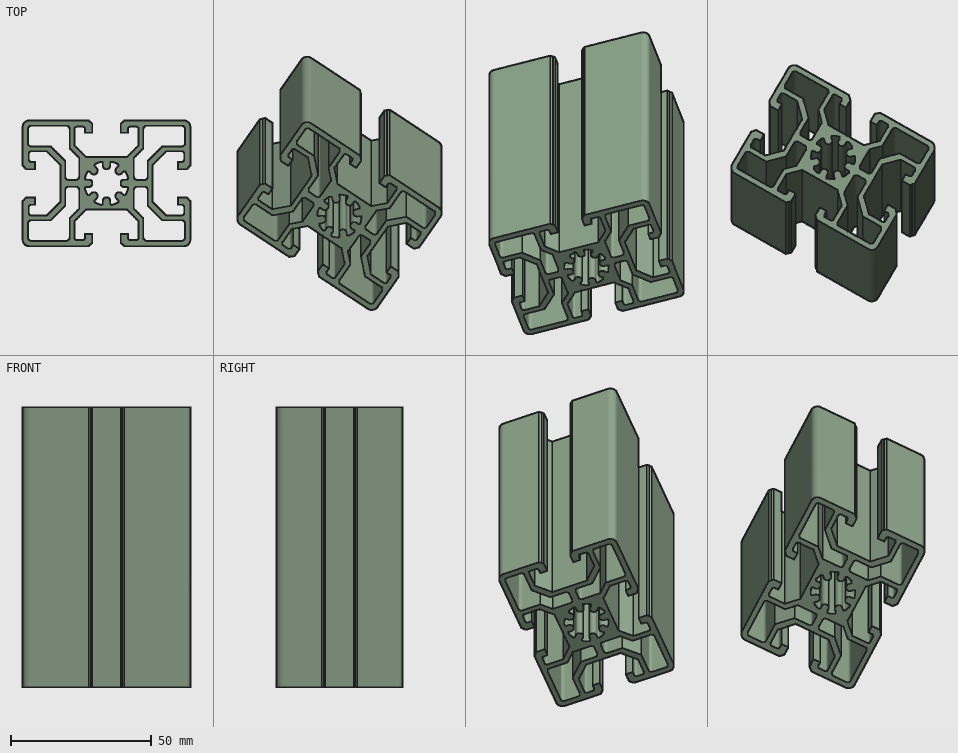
import cadquery as cq
import math

half_width = 30.0
half_depth = 22.5
length = 100.0
corner_radius = 2.5

mouth_half = 5.0
slot_half = 11.4
lip_thickness = 2.3
hook_depth = 4.5
hook_thickness = 2.7
lip_radius = 0.8
mouth_chamfer = 0.6
step_half = 6.4
step_depth = 0.7
wide_slot_floor = 9.4
wide_floor_half = 7.3
narrow_slot_floor = 16.5
narrow_floor_half = 6.6

wall = 2.0
web = 1.8
rib_thickness = 2.5
inner_chamber_x = 9.8
outer_chamber_x = 14.7
inner_bend_y = 9.1
outer_bend_y = 8.0
chamber_radius = 1.1

teeth = 8
root_radius = 7.9
tip_radius = 5.0
tooth_width = 2.7
tooth_tip_fillet = 1.3
tooth_root_fillet = 0.5


def t_slot(face, floor, floor_half):
    """Slot profile cutter opening towards +Y, with its mouth at Y = face."""
    lip = face - lip_thickness
    hook_x = mouth_half + hook_thickness
    hook_y = face - hook_depth
    chamfer_y = floor + slot_half - floor_half
    step_y = face - step_depth
    right_side = [
        (floor_half, floor),
        (slot_half, chamfer_y),
        (slot_half, lip),
        (hook_x, lip),
        (hook_x, hook_y),
        (mouth_half, hook_y),
        (mouth_half, step_y - mouth_chamfer),
        (mouth_half + mouth_chamfer, step_y),
        (step_half - step_depth, step_y),
        (step_half, face),
    ]
    left_side = [(-x, y) for x, y in reversed(right_side)]
    cutter = cq.Workplane("XY").polyline(right_side + left_side).close().extrude(length)
    for x in (-slot_half, -hook_x, hook_x, slot_half):
        cutter = cutter.edges(edge_at(x, lip)).fillet(lip_radius)
    return cutter


def edge_at(x, y):
    """Selector for the upright edge through (x, y)."""
    gap = 0.01
    return cq.selectors.BoxSelector((x - gap, y - gap, 0), (x + gap, y + gap, length))


def corner_chamber():
    """Bent hollow in the +X +Y corner."""
    outer_x = half_width - wall
    outer_y = half_depth - wall
    side = slot_half + web
    rib_half = rib_thickness / 2
    rounded = [
        (inner_chamber_x, rib_half),
        (outer_chamber_x, rib_half),
        (outer_x, side),
        (outer_x, outer_y),
        (side, outer_y),
    ]
    outline = [
        (inner_chamber_x, rib_half),
        (outer_chamber_x, rib_half),
        (outer_chamber_x, outer_bend_y),
        (outer_chamber_x + side - outer_bend_y, side),
        (outer_x, side),
        (outer_x, outer_y),
        (side, outer_y),
        (side, inner_bend_y + side - inner_chamber_x),
        (inner_chamber_x, inner_bend_y),
    ]
    chamber = cq.Workplane("XY").polyline(outline).close().extrude(length)
    for x, y in rounded:
        chamber = chamber.edges(edge_at(x, y)).fillet(chamber_radius)
    return chamber


def tooth():
    """Straight tooth along +X, running past the root circle and rounded at its tip."""
    overlap = 0.5
    reach = root_radius + overlap - tip_radius
    body = (
        cq.Workplane("XY")
        .center(tip_radius + reach / 2, 0)
        .rect(reach, tooth_width)
        .extrude(length)
    )
    return body.edges("|Z and <X").fillet(tooth_tip_fillet)


def core_hole():
    """Round hole with equally spaced teeth pointing to its centre."""
    hole = cq.Workplane("XY").circle(root_radius).extrude(length)
    pitch = 2 * math.pi / teeth
    for index in range(teeth):
        hole = hole.cut(tooth().rotate((0, 0, 0), (0, 0, 1), math.degrees(index * pitch)))

    half_angle = math.asin(tooth_width / 2 / root_radius)
    for index in range(teeth):
        for side in (-1, 1):
            angle = index * pitch + side * half_angle
            corner = edge_at(root_radius * math.cos(angle), root_radius * math.sin(angle))
            hole = hole.edges(corner).fillet(tooth_root_fillet)
    return hole


body = cq.Workplane("XY").rect(2 * half_width, 2 * half_depth).extrude(length)
body = body.edges("|Z").fillet(corner_radius)

wide_slot = t_slot(half_depth, wide_slot_floor, wide_floor_half)
narrow_slot = t_slot(half_width, narrow_slot_floor, narrow_floor_half)
for slot, angles in ((wide_slot, (0, 180)), (narrow_slot, (90, 270))):
    for angle in angles:
        body = body.cut(slot.rotate((0, 0, 0), (0, 0, 1), angle))

chamber_right = corner_chamber()
chamber_left = chamber_right.mirror("YZ")
for chamber in (chamber_right, chamber_left):
    body = body.cut(chamber).cut(chamber.mirror("XZ"))

result = body.cut(core_hole())